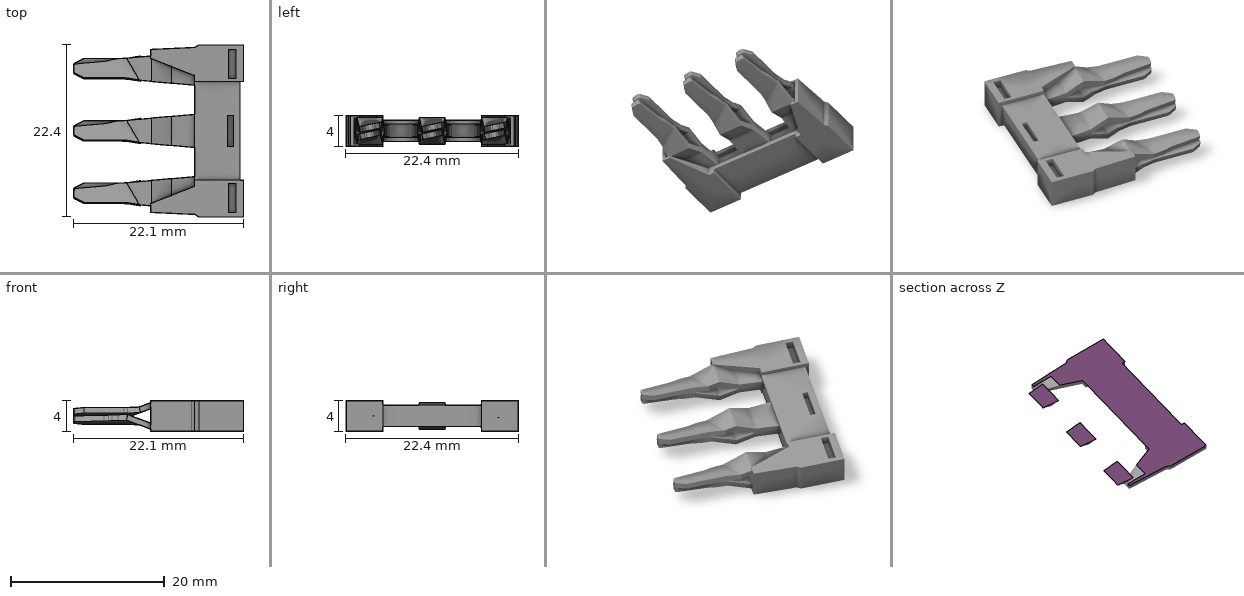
import cadquery as cq
import math


total_length = 22.12
total_width = 22.4
cap_height = 4.0
bridge_height = 2.8
bridge_front_x = 15.74
bridge_back_x = 21.64

cap_front_x = 10.02
cap_outer_y = total_width / 2
cap_inner_y = 6.4
cap_nose_outer_y = 10.61
cap_nose_root_y = 10.85
cap_nose_inner_y = 9.44
cap_diagonal_end_y = 7.18
cap_nose_taper_end_x = 15.3
shoulder_end_x = 16.28
cavity_outer_y = 10.18
cavity_front_half_height = 1.71

slot_depth = 1.2
cap_slot_x = (20.11, 21.12)
cap_slot_y = (6.84, 10.61)
bridge_slot_x = (20.02, 20.76)
bridge_slot_y = (-2.0, 2.0)

strip_thickness = 0.75
prong_pitch = 8.1
prong_root_half_width = 2.17
prong_taper = 0.09
comb_back_x = 17.5
comb_web_x = 16.5
root_fillet = 0.3
recess_half_height = 0.88

fork_x = 12.7
crest_x = 10.1
crest_z = 1.75
rise_angle = math.atan2(crest_z - strip_thickness, fork_x - crest_x)
fall_angle = math.radians(20.2)
arm_overrun = 4.0

blade_twist = 12.0
blade_gap = 0.18
blade_wide_edge = -1.38
tip_edges = (-0.69, 0.42)
tip_chamfer_x = 1.33
tip_radius = 0.3
flare_curve_x = (6.56, 7.0)
flare_slope = 0.17
relief_line_end = (3.95, 0.78)
relief_hollow_end = (4.55, 0.885)
relief_crown = ((5.0, 1.0), (5.75, 1.14))
blade_end_x = crest_x

MITRE_BLOCK = 60.0


def box(x_range, y_range, z_range):
    """Axis-aligned block between three coordinate ranges."""
    sizes = [high - low for low, high in (x_range, y_range, z_range)]
    corner = cq.Vector(x_range[0], y_range[0], z_range[0])
    return cq.Workplane("XY").box(*sizes, centered=False).translate(corner)


def prong_half_width(x):
    """Half width of the tapered arm at a given X."""
    return prong_root_half_width - prong_taper * (bridge_front_x - x)


def side_profile(points, y_from, y_to):
    """Prism between two Y planes from an outline of (x, z) points."""
    profile = cq.Workplane("XZ", origin=(0, y_from, 0)).polyline(points).close()
    return profile.extrude(y_from - y_to)


def flat_plate(front, back, front_overrun=0.0, back_overrun=0.0):
    """Tapered plate whose top face runs between two (x, z) points, front to back."""
    run = back[0] - front[0]
    rise = back[1] - front[1]
    length = math.hypot(run, rise)
    front_half = prong_half_width(front[0])
    widening = (prong_half_width(back[0]) - front_half) / length
    start = -front_overrun
    end = length + back_overrun
    start_half = front_half + widening * start
    end_half = front_half + widening * end
    top = cq.Plane(origin=(front[0], 0, front[1]), xDir=(run, 0, rise), normal=(-rise, 0, run))
    outline = [(start, -start_half), (end, -end_half), (end, end_half), (start, start_half)]
    return cq.Workplane(top).polyline(outline).close().extrude(-strip_thickness)


def beyond(shape, point, direction):
    """Part of a shape on the side of a plane that the direction points to."""
    block = cq.Workplane(cq.Plane(origin=point, normal=direction))
    return shape.intersect(block.rect(MITRE_BLOCK, MITRE_BLOCK).extrude(MITRE_BLOCK))


def mitre_joint(front_plate, back_plate, point, front_normal, back_normal):
    """Join two plates at the fold through a point, mitred midway between their faces."""
    to_back = cq.Vector(*back_normal) - cq.Vector(*front_normal)
    if to_back.x < 0:
        to_back = -to_back
    return beyond(front_plate, point, -to_back).union(beyond(back_plate, point, to_back))


def blade():
    """Upper blade: wide on -Y, relieved on +Y towards the tip, -Y edge twisted upwards."""
    curve_start_x, curve_end_x = flare_curve_x
    curve_end_v = blade_wide_edge - flare_slope * (curve_end_x - curve_start_x) / 2
    wide_end = curve_end_v - flare_slope * (blade_end_x - curve_end_x)
    narrow_end = relief_crown[1][1] + prong_taper * (blade_end_x - relief_crown[1][0])
    slab = (
        cq.Workplane("XY", origin=(0, 0, blade_gap / 2))
        .moveTo(0, tip_edges[1])
        .lineTo(*relief_line_end)
        .tangentArcPoint(relief_hollow_end, relative=False)
        .lineTo(*relief_crown[0])
        .tangentArcPoint(relief_crown[1], relative=False)
        .lineTo(blade_end_x, narrow_end)
        .lineTo(blade_end_x, wide_end)
        .lineTo(curve_end_x, curve_end_v)
        .tangentArcPoint((curve_start_x, blade_wide_edge), relative=False)
        .lineTo(tip_chamfer_x, blade_wide_edge)
        .lineTo(0, tip_edges[0])
        .close()
        .extrude(strip_thickness)
    )
    slab = slab.edges("|Z and <X").fillet(tip_radius)
    return slab.rotate((0, 0, 0), (1, 0, 0), -blade_twist)


def upper_strip():
    """Upper strip of one prong: twisted blade, falling arm, rising arm and flat root."""
    twist = math.radians(blade_twist)
    blade_top_z = (blade_gap / 2 + strip_thickness) / math.cos(twist)
    blade_fold_x = crest_x - (crest_z - blade_top_z) / math.tan(fall_angle)

    blade_fold = (blade_fold_x, blade_top_z)
    crest = (crest_x, crest_z)
    fork = (fork_x, strip_thickness)
    root_end = (bridge_front_x, strip_thickness)

    blade_normal = (0, math.sin(twist), math.cos(twist))
    front_arm_normal = (-math.sin(fall_angle), 0, math.cos(fall_angle))
    back_arm_normal = (math.sin(rise_angle), 0, math.cos(rise_angle))
    root_normal = (0, 0, 1)

    front_arm = flat_plate(blade_fold, crest, arm_overrun, arm_overrun)
    back_arm = flat_plate(crest, fork, arm_overrun, arm_overrun)
    root = flat_plate(fork, root_end, front_overrun=arm_overrun)

    fold_point = (blade_fold[0], 0, blade_fold[1])
    crest_point = (crest[0], 0, crest[1])
    fork_point = (fork[0], 0, fork[1])
    strip = mitre_joint(back_arm, root, fork_point, back_arm_normal, root_normal)
    strip = mitre_joint(front_arm, strip, crest_point, front_arm_normal, back_arm_normal)
    return mitre_joint(blade(), strip, fold_point, blade_normal, front_arm_normal)


def prong():
    """Both strips of a prong; the lower one is the upper one after a half turn."""
    upper = upper_strip()
    lower = upper.rotate((0, 0, 0), (1, 0, 0), 180)
    return upper.union(lower)


def cap():
    """End cap on the +Y side, with its nose cavity and slot."""
    body = (
        cq.Workplane("XY", origin=(0, 0, -cap_height / 2))
        .polyline(
            [
                (cap_front_x, cap_nose_outer_y),
                (cap_nose_taper_end_x, cap_nose_root_y),
                (bridge_front_x, cap_nose_root_y),
                (shoulder_end_x, cap_outer_y),
                (total_length, cap_outer_y),
                (total_length, cap_inner_y),
                (bridge_front_x, cap_inner_y),
                (bridge_front_x, cap_diagonal_end_y),
                (cap_front_x, cap_nose_inner_y),
            ]
        )
        .close()
        .extrude(cap_height)
    )
    cavity = side_profile(
        [
            (cap_front_x, -cavity_front_half_height),
            (bridge_front_x, -recess_half_height),
            (bridge_front_x, recess_half_height),
            (cap_front_x, cavity_front_half_height),
        ],
        cap_inner_y,
        cavity_outer_y,
    )
    slot = box(cap_slot_x, cap_slot_y, (cap_height / 2 - slot_depth, cap_height / 2))
    return body.cut(cavity).cut(slot)


def bridge():
    """Middle of the housing, with the front recess for the comb and the slot."""
    body = box(
        (bridge_front_x, bridge_back_x),
        (-cap_inner_y, cap_inner_y),
        (-bridge_height / 2, bridge_height / 2),
    )
    top = bridge_height / 2
    body = body.cut(box(bridge_slot_x, bridge_slot_y, (top - slot_depth, top)))
    recess = box(
        (bridge_front_x, comb_web_x),
        (-cap_inner_y, cap_inner_y),
        (-recess_half_height, recess_half_height),
    )
    return body.cut(recess)


def comb_web():
    """Strip joining the prong roots, with a rounded corner beside each root."""
    outer_y = prong_pitch + prong_root_half_width
    web = box(
        (bridge_front_x, comb_back_x),
        (-outer_y, outer_y),
        (-strip_thickness, strip_thickness),
    )
    web_half_width = prong_half_width(comb_web_x)
    opening = (
        cq.Workplane("XY", origin=(0, 0, -strip_thickness))
        .polyline(
            [
                (bridge_front_x, prong_root_half_width),
                (comb_web_x, web_half_width),
                (comb_web_x, prong_pitch - web_half_width),
                (bridge_front_x, prong_pitch - prong_root_half_width),
            ]
        )
        .close()
        .extrude(2 * strip_thickness)
    )
    opening = opening.edges("|Z and >X").fillet(root_fillet)
    return web.cut(opening).cut(opening.mirror("XZ"))


def jumper():
    """Housing and the three prongs as one body."""
    end_cap = cap()
    body = bridge().union(end_cap).union(end_cap.mirror("XZ"))
    body = body.union(comb_web())
    contact = prong()
    for position in (-1, 0, 1):
        body = body.union(contact.translate((0, position * prong_pitch, 0)))
    return body


result = jumper()